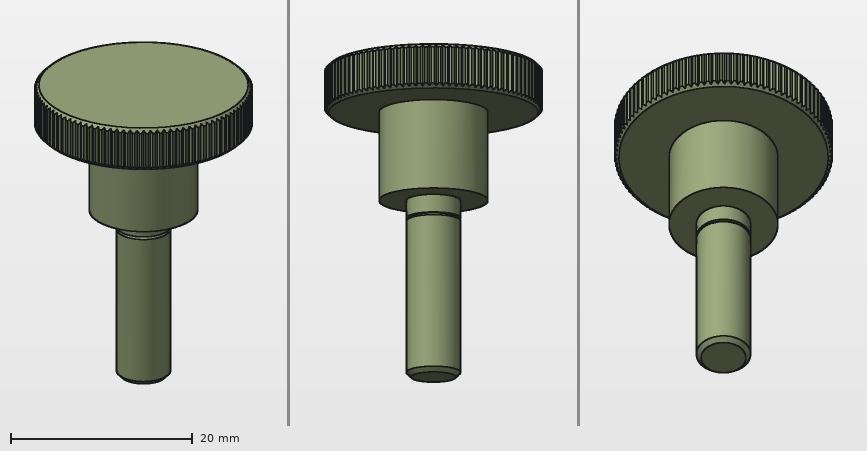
import cadquery as cq
import math

total_height = 35

head_diameter = 24.0
head_height = 5.0
face_diameter = 23.05
tooth_count = 100
tooth_land = 0.28
groove_depth = 0.25

hub_diameter = 12.0
hub_height = 10.0

shank_diameter = 6.0
collar_height = 2.0
notch_height = 0.3
notch_depth = 0.42
tip_chamfer = 0.52

head_radius = head_diameter / 2
face_radius = face_diameter / 2
hub_radius = hub_diameter / 2
shank_radius = shank_diameter / 2
rim_chamfer = head_radius - face_radius
head_bottom = total_height - head_height
hub_bottom = head_bottom - hub_height
collar_bottom = hub_bottom - collar_height


def rim_point(radius, angle):
    return (radius * math.cos(angle), radius * math.sin(angle))


def toothed_disc():
    """Disc with straight V-grooves around its rim, leaving teeth capped by arcs of the rim."""
    pitch_angle = 2 * math.pi / tooth_count
    half_land = tooth_land / head_radius / 2
    outline = cq.Workplane("XY", origin=(0, 0, head_bottom))
    outline = outline.moveTo(*rim_point(head_radius - groove_depth, 0))
    for index in range(tooth_count):
        tooth_angle = (index + 0.5) * pitch_angle
        next_groove_angle = (index + 1) * pitch_angle
        outline = outline.lineTo(*rim_point(head_radius, tooth_angle - half_land))
        outline = outline.threePointArc(
            rim_point(head_radius, tooth_angle),
            rim_point(head_radius, tooth_angle + half_land),
        )
        if index < tooth_count - 1:
            outline = outline.lineTo(*rim_point(head_radius - groove_depth, next_groove_angle))
    return outline.close().extrude(head_height)


def knurled_head():
    """Toothed disc with its top and bottom rims chamfered across the teeth."""
    chamfered_disc = (
        cq.Workplane("XY", origin=(0, 0, head_bottom))
        .circle(head_radius)
        .extrude(head_height)
        .edges("%CIRCLE")
        .chamfer(rim_chamfer)
    )
    return toothed_disc().intersect(chamfered_disc)


def hub_and_shank():
    """Turned hub, collar and shank, with a tapered notch under the collar and a chamfered tip."""
    half_section = [
        (0, 0),
        (shank_radius - tip_chamfer, 0),
        (shank_radius, tip_chamfer),
        (shank_radius, collar_bottom - notch_height),
        (shank_radius - notch_depth, collar_bottom),
        (shank_radius, collar_bottom),
        (shank_radius, hub_bottom),
        (hub_radius, hub_bottom),
        (hub_radius, head_bottom),
        (0, head_bottom),
    ]
    points = [(-radius, height) for radius, height in half_section]
    return cq.Workplane("YZ").polyline(points).close().revolve(360, (0, 0, 0), (0, 1, 0))


result = knurled_head().union(hub_and_shank())